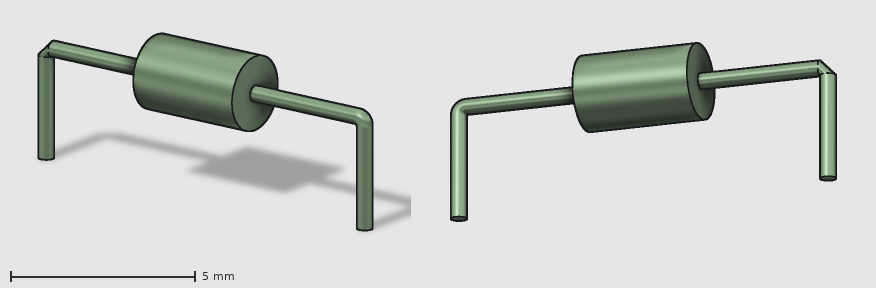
import cadquery as cq
import math

span = 11.2
body_diameter = 2.1
body_length = 3.34
lead_diameter = 0.45
total_height = 4.2
inner_bend_radius = 0.002

lead_radius = lead_diameter / 2
body_end = body_length / 2
inner_corner_x = span / 2 - lead_diameter
leg_x = span / 2 - lead_radius
leg_bottom_z = body_diameter / 2 - total_height


def make_body():
    """Plain cylinder between the two leads."""
    return cq.Workplane("YZ", origin=(-body_end, 0, 0)).circle(body_diameter / 2).extrude(body_length)


def make_wire(side, end_x):
    """Horizontal wire from the body face out to end_x, on the -X (-1) or +X (+1) side."""
    return (
        cq.Workplane("YZ", origin=(side * body_end, 0, 0))
        .circle(lead_radius)
        .extrude(side * (end_x - body_end))
    )


def make_leg(side, top_z):
    """Vertical leg from its free end up to top_z, on the -X (-1) or +X (+1) side."""
    return (
        cq.Workplane("XY", origin=(side * leg_x, 0, leg_bottom_z))
        .circle(lead_radius)
        .extrude(top_z - leg_bottom_z)
    )


def make_mitred_bend():
    """Wedge of a 45 degree elliptical bar that joins the round ends of the -X wire and leg."""
    bar_start = (-leg_x - lead_diameter, 0, -lead_radius - lead_diameter)
    bar_plane = cq.Plane(origin=bar_start, xDir=(0, 1, 0), normal=(1, 0, 1))
    bar = (
        cq.Workplane(bar_plane)
        .ellipse(lead_radius, lead_radius / math.sqrt(2))
        .extrude(4 * lead_diameter)
    )
    corner_block = cq.Workplane("XY", origin=(-leg_x, 0, 0)).box(
        lead_diameter, lead_diameter, lead_diameter
    )
    return bar.intersect(corner_block)


def make_round_bend():
    """Quarter turn of the +X wire about its inside corner."""
    axis_drop = lead_radius + inner_bend_radius
    return (
        cq.Workplane("YZ", origin=(inner_corner_x - inner_bend_radius, 0, 0))
        .circle(lead_radius)
        .revolve(90, (0, -axis_drop), (1, -axis_drop))
    )


def make_mitred_lead():
    """Lead on the -X side, with its corner cut straight across."""
    wire = make_wire(-1, inner_corner_x)
    leg = make_leg(-1, -lead_radius)
    return wire.union(make_mitred_bend()).union(leg)


def make_rounded_lead():
    """Lead on the +X side, with its corner turned through an arc."""
    wire = make_wire(1, inner_corner_x - inner_bend_radius)
    leg = make_leg(1, -lead_radius - inner_bend_radius)
    return wire.union(make_round_bend()).union(leg)


body = make_body()
mitred_lead = make_mitred_lead()
rounded_lead = make_rounded_lead()

result = cq.Compound.makeCompound(
    [body.val(), mitred_lead.solids().val(), rounded_lead.solids().val()]
)